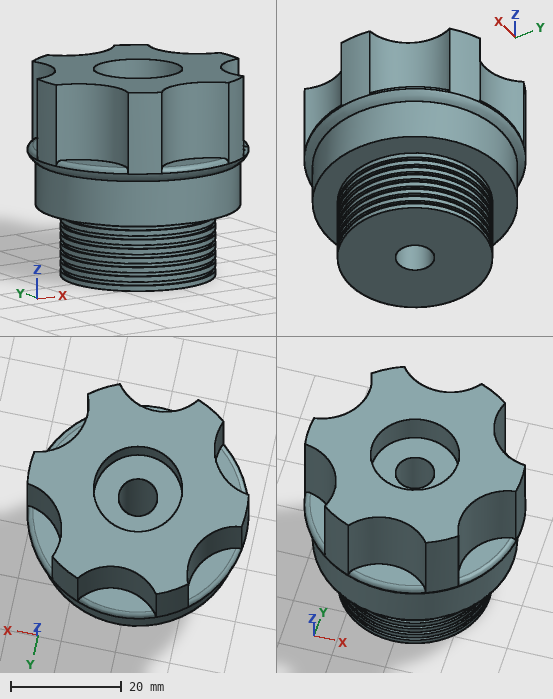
import cadquery as cq

total_height = 38.0
stub_height = 13.0
flange_height = 23.0

grip_radius = 20.0
collar_radius = 18.5
stub_radius = 14.0

flange_top_round = 1.0
flange_underside_drop = 1.7
flange_underside_bulge = 0.2

ring_count = 8
ring_width = 1.0
ring_pitch = 1.7
groove_depth = 0.5

scallop_count = 6
scallop_radius = 9.0
scallop_centre_distance = 24.0

bore_diameter = 7.0
counterbore_diameter = 16.0
counterbore_depth = 5.5

ledge_height = flange_height + flange_top_round


def cylinder(radius, bottom, top):
    """Cylinder on the Z axis between two heights."""
    return cq.Workplane("XY").workplane(offset=bottom).circle(radius).extrude(top - bottom)


def stub():
    """Stub with flat-bottomed ring grooves; a sliver of groove remains under the collar."""
    body = cylinder(stub_radius - groove_depth, 0, stub_height)
    for index in range(ring_count):
        bottom = index * ring_pitch
        body = body.union(cylinder(stub_radius, bottom, bottom + ring_width))
    return body


def collar_and_flange():
    """Plain collar that swells into a flange with a rounded rim."""
    underside = flange_height - flange_underside_drop
    overhang = grip_radius - collar_radius
    chord = (overhang**2 + flange_underside_drop**2) ** 0.5
    arc_mid = (
        (grip_radius + collar_radius) / 2 + flange_underside_bulge * flange_underside_drop / chord,
        (flange_height + underside) / 2 - flange_underside_bulge * overhang / chord,
    )
    profile = (
        cq.Workplane("XZ")
        .moveTo(0, stub_height)
        .lineTo(collar_radius, stub_height)
        .lineTo(collar_radius, underside)
        .threePointArc(arc_mid, (grip_radius, flange_height))
        .radiusArc((grip_radius - flange_top_round, ledge_height), -flange_top_round)
        .lineTo(0, ledge_height)
        .close()
    )
    return profile.revolve(360, (0, 0, 0), (0, 1, 0))


def grip():
    """Scalloped grip; its lobes run down to the widest level of the flange."""
    lobes = cylinder(grip_radius, flange_height, total_height)
    scallops = (
        cq.Workplane("XY")
        .workplane(offset=flange_height)
        .polarArray(scallop_centre_distance, 90, 360, scallop_count)
        .circle(scallop_radius)
        .extrude(total_height - flange_height)
    )
    return lobes.cut(scallops)


def bore():
    """Through bore with its counterbore, as a cutting tool."""
    hole = cylinder(bore_diameter / 2, 0, total_height)
    return hole.union(cylinder(counterbore_diameter / 2, total_height - counterbore_depth, total_height))


result = stub().union(collar_and_flange()).union(grip()).cut(bore())